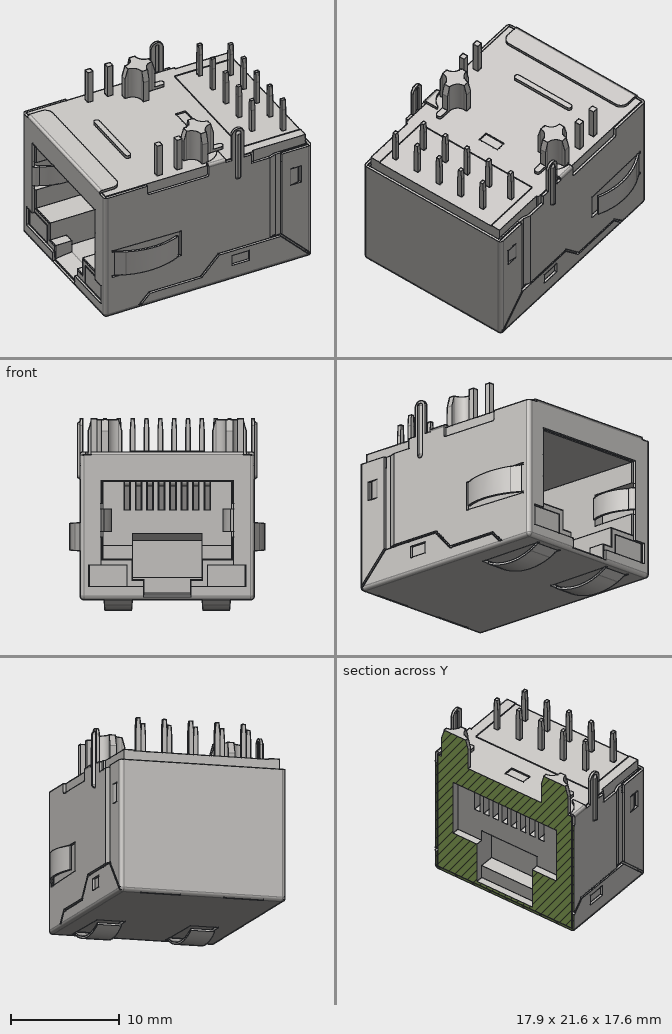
import cadquery as cq
import math

SIDES = (-1, 1)

sheet = 0.25
shield_width = 16.0
shield_length = 21.6
shield_top = 13.3
rear_top = 12.33
bend = 0.35
half_width = shield_width / 2
half_inner = half_width - sheet
shield_rear_inner = shield_length - sheet
rear_step_y = 15.3
overlap_gap_y = 17.23
overlap_flat_y = 17.9
overlap_bottom = 3.3
rear_flap_y = 18.47

insert_top = 13.35
side_clearance = 0.05
half_insert = half_inner - side_clearance
insert_rear = 21.17
insert_step_y = 15.68
half_rear = half_inner - sheet
board_face_relief = 0.08
rib_height = 0.3
rib_width = 0.6

plug_half_width = 5.9
plug_floor = 3.75
plug_roof = 10.87
plug_depth = 11.5
window_margin = 0.1
window_half_width = plug_half_width + 2 * window_margin
window_roof = plug_roof + window_margin
lamp_half_span = 7.25
lamp_bottom = 1.22
lamp_top = 3.2
lamp_inner = 3.71
lamp_recess = 0.06
latch_half_width = 3.17
latch_floor = 0.65
stop_half_gap = 2.12
stop_top = 1.88
stop_rear = 2.0

pin_top = 16.655
pin_root = 13.0
peg_top = 16.55
peg_x = 5.715
peg_y = 10.85

spring_bulge = 0.955
spring_root_y = 1.0
spring_flex_y = 1.95
spring_peak_y = 4.56
spring_end_y = 7.5
spring_thickness = 0.2
spring_root_width = 2.6
spring_end_width = 2.28
side_spring_z = 5.8
bottom_spring_x = 4.5


def block(x0, x1, y0, y1, z0, z1):
    """Box between two opposite corners, given in any order."""
    size = (abs(x1 - x0), abs(y1 - y0), abs(z1 - z0))
    middle = ((x0 + x1) / 2, (y0 + y1) / 2, (z0 + z1) / 2)
    return cq.Workplane("XY").box(*size).translate(middle)


def side_profile(points, x0, x1):
    """Prism along X with an outline given as (y, z) points."""
    start = min(x0, x1)
    return cq.Workplane("YZ", origin=(start, 0, 0)).polyline(points).close().extrude(abs(x1 - x0))


def top_profile(points, z0, z1):
    """Prism along Z with an outline given as (x, y) points."""
    return cq.Workplane("XY", origin=(0, 0, z0)).polyline(points).close().extrude(z1 - z0)



def insert_block():
    body = block(-half_insert, half_insert, sheet, insert_rear, sheet, insert_top)
    for side in SIDES:
        body = body.cut(block(side * half_rear, side * half_width, insert_step_y, shield_length, 0, pin_top))
    board_face_half = 6.5
    board_face_y = 15.03
    relief_floor = insert_top - board_face_relief
    body = body.cut(block(-board_face_half, board_face_half, board_face_y, shield_length,
                          relief_floor, pin_top))
    pocket_half, pocket_y0, pocket_y1, pocket_depth = 1.05, 12.24, 13.26, 0.15
    return body.cut(block(-pocket_half, pocket_half, pocket_y0, pocket_y1,
                          insert_top - pocket_depth, pin_top))


def plug_cavity():
    cavity = block(-plug_half_width, plug_half_width, 0, plug_depth, plug_floor, plug_roof)
    ledge_top, ledge_y = 5.0, 10.0
    for side in SIDES:
        cavity = cavity.cut(block(side * latch_half_width, side * plug_half_width,
                                  ledge_y, plug_depth, plug_floor, ledge_top))
    lip_height, lip_depth = 0.4, stop_rear
    rear_floor, rear_depth = 2.04, 13.0
    rear_roof, mouth_roof = 5.45, 6.1
    channel = side_profile(
        [(0, lip_height), (lip_depth, latch_floor), (plug_depth, latch_floor), (plug_depth, rear_floor),
         (rear_depth, rear_floor), (rear_depth, rear_roof), (plug_depth, mouth_roof), (0, mouth_roof)],
        -latch_half_width, latch_half_width)
    for side in SIDES:
        channel = channel.cut(block(side * stop_half_gap, side * latch_half_width,
                                    0, stop_rear, 0, stop_top))
    relief_half_width, relief_depth, relief_bottom, relief_top = 6.9, 5.0, 5.79, 8.83
    relief = block(-relief_half_width, relief_half_width, 0, relief_depth, relief_bottom, relief_top)
    return cavity.union(channel).union(relief)


def mouth_chamfer():
    """Small lead-in around the plug opening at the insert's front face."""
    chamfer = 0.08
    right_half = [(plug_half_width, plug_roof), (plug_half_width, plug_floor), (latch_half_width, plug_floor),
                  (latch_half_width, stop_top), (stop_half_gap, stop_top), (stop_half_gap, latch_floor)]
    left_half = [(-x, z) for x, z in reversed(right_half)]
    mouth = cq.Workplane("XZ", origin=(0, sheet, 0)).polyline(right_half + left_half).close()
    return mouth.offset2D(chamfer, "intersection").extrude(-chamfer, taper=45)


def lamp_recesses():
    lamps = cq.Workplane("XY")
    edge = lamp_half_span - window_margin
    for side in SIDES:
        lamps = lamps.add(block(side * lamp_inner, side * edge, 0, sheet + lamp_recess, lamp_bottom, lamp_top))
    return lamps.combine()


def add_plug_contacts(body):
    """Eight slots in the back wall of the plug opening, each with a sloping contact inside."""
    count, pitch = 8, 1.05
    slot_width, contact_width = 0.62, 0.46
    slot_bottom, slot_depth = 8.24, 1.6
    nose_radius = 0.42
    slot_rear = plug_depth + slot_depth
    nose_mid = nose_radius * (1 - math.sqrt(0.5))
    contact = (cq.Workplane("YZ").moveTo(slot_rear, slot_bottom).lineTo(slot_rear, plug_roof)
               .lineTo(plug_depth, plug_roof)
               .threePointArc((plug_depth + nose_mid, plug_roof - nose_radius + nose_mid),
                              (plug_depth + nose_radius, plug_roof - nose_radius))
               .close().extrude(contact_width / 2, both=True))
    for index in range(count):
        x = (index - (count - 1) / 2) * pitch
        slot = block(x - slot_width / 2, x + slot_width / 2, plug_depth, slot_rear, slot_bottom, plug_roof)
        body = body.cut(slot).union(contact.translate((x, 0, 0)))
    return body


def board_pins():
    """Two staggered rows of pins with wedge-shaped tips."""
    count, pitch, row_gap = 10, 1.27, 2.54
    front_row_y = 17.24
    half_pin, half_tip, pin_depth = 0.225, 0.15, 0.38
    taper_z = 15.6
    outline = [(-half_pin, pin_root), (half_pin, pin_root), (half_pin, taper_z),
               (half_tip, pin_top), (-half_tip, pin_top), (-half_pin, taper_z)]
    pin = cq.Workplane("XZ").polyline(outline).close().extrude(pin_depth / 2, both=True)
    pins = cq.Workplane("XY")
    for index in range(count):
        x = (index - (count - 1) / 2) * pitch
        y = front_row_y + row_gap * (index % 2)
        pins = pins.add(pin.translate((x, y, 0)))
    return pins.combine()


def lamp_pins():
    pin_x, pin_half = 6.74, 0.275
    pin_rows = (6.27, 8.32)
    pins = cq.Workplane("XY")
    for side in SIDES:
        for y in pin_rows:
            x = side * pin_x
            pins = pins.add(block(x - pin_half, x + pin_half, y - pin_half, y + pin_half,
                                  pin_root, pin_top))
    return pins.combine()


def locating_pegs():
    """Cross-shaped pegs with hollow flanks and tapered arm tips."""
    reach, top_reach, arm_half, taper_z = 1.55, 1.25, 0.3, 15.5
    flank_radius = top_reach - arm_half
    peg = block(-reach, reach, -reach, reach, pin_root, peg_top)
    for sx in SIDES:
        for sy in SIDES:
            arm_side = block(sx * top_reach, sx * reach, sy * arm_half, sy * reach, 0, pin_top)
            arm_end = block(sx * arm_half, sx * reach, sy * top_reach, sy * reach, 0, pin_top)
            flank = (cq.Workplane("XY").center(sx * top_reach, sy * top_reach)
                     .circle(flank_radius).extrude(pin_top))
            peg = peg.cut(arm_side).cut(arm_end).cut(flank)
    taper = [(-reach, 0), (reach, 0), (reach, taper_z), (top_reach, peg_top),
             (-top_reach, peg_top), (-reach, taper_z)]
    for plane in ("XZ", "YZ"):
        peg = peg.intersect(cq.Workplane(plane).polyline(taper).close().extrude(reach, both=True))
    return peg.translate((-peg_x, peg_y, 0)).union(peg.translate((peg_x, peg_y, 0)))


def standoff_ribs():
    cross_length, cross_width, cross_y = 6.52, 0.54, 5.07
    end_rounding = 0.45
    cross = cq.Workplane("XY", origin=(0, cross_y, insert_top)).rect(cross_length, cross_width)
    ribs = cross.extrude(rib_height).edges("|Z").fillet(cross_width * end_rounding)
    rib_end_y = 13.49
    for side in SIDES:
        rib = block(side * peg_x - rib_width / 2, side * peg_x + rib_width / 2,
                    peg_y, rib_end_y, insert_top, insert_top + rib_height)
        ribs = ribs.union(rib.edges("|Z and >Y").fillet(rib_width * end_rounding))
    return ribs


def make_insert():
    body = insert_block().cut(plug_cavity()).cut(mouth_chamfer()).cut(lamp_recesses())
    body = add_plug_contacts(body)
    for feature in (board_pins(), lamp_pins(), locating_pegs(), standoff_ribs()):
        body = body.union(feature)
    return body



def shield_shell():
    shell = block(-half_width, half_width, 0, shield_length, 0, shield_top)
    shell = shell.edges("|Z").fillet(bend).faces("<Z").edges().fillet(bend)
    shell = shell.cut(block(-half_inner, half_inner, sheet, shield_rear_inner, sheet, pin_top))
    return shell.cut(block(-half_width, half_width, rear_step_y, shield_length, rear_top, pin_top))


def front_flap():
    """Flap folded from the front panel back over the top of the insert."""
    half_flap, flap_depth, corner, fold_base = 7.0, 2.2, 0.8, 1.0
    flap_top = insert_top + sheet
    flap = block(-half_flap, half_flap, 0, flap_depth, insert_top, flap_top)
    flap = flap.edges("|Z and >Y").fillet(corner)
    fold = block(-half_flap, half_flap, 0, sheet, shield_top - fold_base, flap_top)
    return flap.union(fold).edges("|X and <Y and >Z").fillet(sheet)


def top_wings():
    """Tabs folded over the insert beside the pegs, cut back to clear them."""
    wing_inner, wing_rear, peg_clearance, fold_base = 6.46, 12.65, 1.78, 0.5
    wing_top = insert_top + sheet
    wing = block(half_width, wing_inner, peg_y, wing_rear, insert_top, wing_top)
    wing = wing.union(block(half_width, half_inner, peg_y, wing_rear, shield_top - fold_base, wing_top))
    wing = wing.edges("|Y and >X and >Z").fillet(sheet)
    wing = wing.cut(cq.Workplane("XY").center(peg_x, peg_y).circle(peg_clearance).extrude(pin_top))
    return wing.union(wing.mirror("YZ"))


def front_window():
    window = block(-window_half_width, window_half_width, 0, sheet, lamp_bottom, window_roof)
    window = window.union(block(-lamp_half_span, lamp_half_span, 0, sheet, lamp_bottom, lamp_top))
    latch_half = stop_half_gap + window_margin / 2
    return window.union(block(-latch_half, latch_half, 0, sheet, sheet, lamp_bottom))


def side_cutouts():
    """Lowered stretches in the side walls' upper edges."""
    cut_y, corner = 4.48, 0.2
    cutter = block(-half_width, half_width, cut_y, peg_y, rear_top, pin_top)
    return cutter.edges("|X and <Z").fillet(corner)


def rear_overlaps():
    """Inner layer where the side walls jog inward and run under the rear cover."""
    outline = [(half_inner, overlap_gap_y), (half_rear, overlap_flat_y), (half_rear, shield_rear_inner),
               (half_inner, shield_rear_inner)]
    layer = top_profile(outline, overlap_bottom, rear_top)
    gap, gap_depth = 0.09, 1.0
    layer = layer.cut(block(half_inner - gap, half_inner, rear_flap_y, shield_rear_inner,
                            rear_top - gap_depth, rear_top))
    return layer.union(layer.mirror("YZ"))


def overlap_grooves():
    """Outer grooves left where the side walls jog inward, up to the rear cover's flap."""
    outline = [(half_width, overlap_gap_y), (half_inner, overlap_flat_y), (half_inner, rear_flap_y),
               (half_width, rear_flap_y)]
    groove = top_profile(outline, overlap_bottom, rear_top)
    return groove.union(groove.mirror("YZ"))


def panel_seam():
    """Narrow gap along each side between the side wall, the rear cover and the bottom flap."""
    seam_width = 0.2
    upper_edge = [(21.35, 0.45), (18.42, 3.4), (11.86, 3.4), (10.03, 1.48), (4.66, 1.48), (3.55, 0.35)]
    diagonal = seam_width * math.sqrt(2)
    shift = seam_width * math.tan(math.pi / 8)
    lower_edge = [
        (upper_edge[0][0], upper_edge[0][1] - diagonal),
        (upper_edge[1][0] - shift, upper_edge[1][1] - seam_width),
        (upper_edge[2][0] + shift, upper_edge[2][1] - seam_width),
        (upper_edge[3][0] + shift, upper_edge[3][1] - seam_width),
        (upper_edge[4][0] + shift, upper_edge[4][1] - seam_width),
        (upper_edge[5][0] + diagonal, upper_edge[5][1]),
    ]
    outline = upper_edge + lower_edge[::-1]
    return side_profile(outline, -half_width, -half_inner).union(side_profile(outline, half_inner, half_width))


def side_latches():
    """Openings in the side walls: a plain one low down and one with a sloping tab at the rear."""
    low_y0, low_y1, low_z0, low_z1 = 13.28, 15.1, 1.6, 2.7
    tab_y0, tab_y1, tab_end_y, tab_z0, tab_z1 = 19.35, 20.27, 20.5, 8.57, 10.37
    tab_depth = 0.2
    tab = [(half_width, tab_y0), (half_width - tab_depth, tab_y1), (half_inner, tab_y1),
           (half_inner, tab_end_y), (half_width, tab_end_y)]
    opening = top_profile(tab, tab_z0, tab_z1)
    opening = opening.union(block(half_inner, half_width, low_y0, low_y1, low_z0, low_z1))
    return opening.union(opening.mirror("YZ"))


def rear_bottom_slots():
    slot_x0, slot_x1 = 2.1, 5.9
    slots = cq.Workplane("XY")
    for side in SIDES:
        slots = slots.add(block(side * slot_x0, side * slot_x1, insert_rear, shield_rear_inner, 0, sheet))
    return slots.combine()


def ground_legs():
    """Solder legs rising from the side walls, each stiffened by a bead pressed outward."""
    leg_y, leg_width = 13.9, 1.27
    bead_bottom, bead_top, bead_half, crest_half, bead_height = 11.07, 16.4, 0.3, 0.12, 0.24
    leg_round_z = pin_top - leg_width / 2
    leg = block(half_inner, half_width, leg_y - leg_width / 2, leg_y + leg_width / 2,
                rear_top, leg_round_z)
    tip = cq.Workplane("YZ", origin=(half_inner, leg_y, leg_round_z)).circle(leg_width / 2).extrude(sheet)
    leg = leg.union(tip)
    bead_taper = math.degrees(math.atan((bead_half - crest_half) / bead_height))
    bead = (cq.Workplane("YZ", origin=(half_width, leg_y, (bead_bottom + bead_top) / 2))
            .slot2D(bead_top - bead_bottom, 2 * bead_half, 90)
            .extrude(bead_height, taper=bead_taper))
    hollow_half, hollow_depth = 0.2, 0.15
    hollow = (cq.Workplane("YZ", origin=(half_inner, leg_y, (bead_bottom + bead_top) / 2))
              .slot2D(bead_top - bead_bottom, 2 * hollow_half, 90)
              .extrude(hollow_depth))
    leg = leg.union(bead).cut(hollow)
    return leg.union(leg.mirror("YZ"))


def contact_spring():
    """Bowed spring lying on the XY plane, rooted at the front and bulging toward +Z."""
    half_chord = spring_peak_y - spring_root_y
    radius = (half_chord ** 2 + spring_bulge ** 2) / (2 * spring_bulge)
    inner_radius = radius - spring_thickness
    center_z = spring_bulge - radius

    def on_arc(arc_radius, y_at_outer):
        """Point of the inner or outer arc on the radius through the outer arc's point at this Y."""
        offset = y_at_outer - spring_peak_y
        scale = arc_radius / radius
        return (spring_peak_y + scale * offset, center_z + scale * math.sqrt(radius ** 2 - offset ** 2))

    strip = (cq.Workplane("YZ").moveTo(spring_root_y, -spring_thickness).lineTo(spring_root_y, 0)
             .lineTo(*on_arc(radius, spring_flex_y))
             .threePointArc(on_arc(radius, spring_peak_y), on_arc(radius, spring_end_y))
             .lineTo(*on_arc(inner_radius, spring_end_y))
             .threePointArc(on_arc(inner_radius, spring_peak_y), on_arc(inner_radius, spring_flex_y))
             .close().extrude(spring_root_width, both=True))
    outline = [(-spring_root_width / 2, spring_root_y), (spring_root_width / 2, spring_root_y),
               (spring_end_width / 2, spring_end_y), (-spring_end_width / 2, spring_end_y)]
    return strip.intersect(top_profile(outline, -sheet, spring_bulge))


def spring_window():
    """Opening around a contact spring, with two slits running on beside its root."""
    slit, slit_y, window_end_y, end_half_width = 0.18, 0.8, 8.0, 1.36
    half_root = spring_root_width / 2
    outline = [(-half_root - slit, slit_y), (-half_root, slit_y), (-half_root, spring_root_y),
               (half_root, spring_root_y), (half_root, slit_y), (half_root + slit, slit_y),
               (end_half_width, window_end_y), (-end_half_width, window_end_y)]
    return top_profile(outline, -sheet, 0)


def spring_places(shape):
    """The shape copied to both side walls and twice to the bottom."""
    axis = ((0, 0, 0), (0, 1, 0))
    places = []
    for side in SIDES:
        places.append(shape.rotate(*axis, side * 90).translate((side * half_width, 0, side_spring_z)))
        places.append(shape.rotate(*axis, 180).translate((side * bottom_spring_x, 0, 0)))
    return places


def inner_tongues():
    """Tongues folded inward from the window's sides to touch the plug."""
    tongue_bottom, tongue_top, tongue_sheet = 6.27, 8.35, 0.2
    contact_x, contact_y = 5.1, 3.0
    end_x, end_y = 5.5, 4.8
    bend_x, bend_y = 5.8, 0.6
    root_x = window_half_width + sheet
    outline = (cq.Workplane("XY", origin=(0, 0, tongue_bottom))
               .moveTo(root_x, 0).lineTo(window_half_width, 0)
               .threePointArc((bend_x + window_margin, bend_y / 3), (bend_x, bend_y))
               .threePointArc((contact_x, contact_y), (end_x, end_y))
               .lineTo(end_x + tongue_sheet, end_y)
               .threePointArc((contact_x + tongue_sheet, contact_y), (bend_x + tongue_sheet, bend_y))
               .lineTo(root_x, sheet).close())
    tongue = outline.extrude(tongue_top - tongue_bottom)
    return tongue.union(tongue.mirror("YZ"))


def make_shield():
    shell = shield_shell().union(rear_overlaps())
    for feature in (front_flap(), top_wings()):
        shell = shell.union(feature)
    for opening in (front_window(), side_cutouts(), overlap_grooves(), panel_seam(), side_latches(),
                    rear_bottom_slots(), *spring_places(spring_window())):
        shell = shell.cut(opening)
    for feature in (ground_legs(), inner_tongues(), *spring_places(contact_spring())):
        shell = shell.union(feature)
    return shell


insert = make_insert()
shield = make_shield()
result = cq.Compound.makeCompound([*insert.solids().vals(), *shield.solids().vals()])